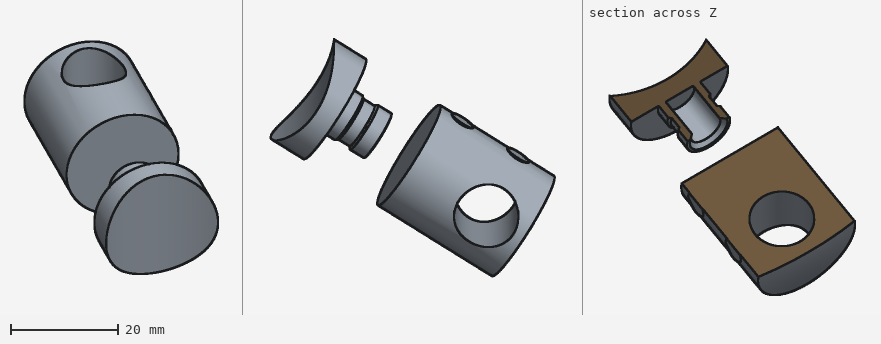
import cadquery as cq
import math

overall_length = 49.55
part_radius = 11.0
left_end = -overall_length / 2
right_end = overall_length / 2

housing_length = 26.0
dome_height = 0.8
housing_end = left_end + housing_length

rail_hole_radius = 6.0
rail_hole_x = left_end + 8.9

screw_radius = 2.5
screw_depth = 1.5
clamp_screw_setback = 4.8
screw_positions = [rail_hole_x, housing_end - clamp_screw_setback]

saddle_length = 7.1
flange_left = right_end - saddle_length
saddle_web = 4.05
post_radius = 21.3

stem_length = 9.5
stem_radius = 4.9
groove_radius = 4.45
groove_width = 3.35
groove_bevel = stem_radius - groove_radius
groove_center = flange_left - clamp_screw_setback
stem_left = flange_left - stem_length
bore_radius = 3.3
countersink_radius = 4.25
bore_depth = stem_length


def make_housing():
    shoulder = left_end + dome_height
    dome_radius = (part_radius**2 + dome_height**2) / (2 * dome_height)
    half_angle = math.asin(part_radius / dome_radius) / 2
    arc_middle = (
        left_end + dome_radius * (1 - math.cos(half_angle)),
        dome_radius * math.sin(half_angle),
    )
    body = (
        cq.Workplane("XY")
        .moveTo(left_end, 0)
        .threePointArc(arc_middle, (shoulder, part_radius))
        .lineTo(housing_end, part_radius)
        .lineTo(housing_end, 0)
        .close()
        .revolve(360, (0, 0, 0), (1, 0, 0))
    )
    for screw_x in screw_positions:
        screw_end = (
            cq.Workplane("XZ", origin=(screw_x, part_radius, 0))
            .circle(screw_radius)
            .extrude(screw_depth)
        )
        body = body.union(screw_end)
    rail_hole = (
        cq.Workplane("XY", origin=(rail_hole_x, 0, 0))
        .circle(rail_hole_radius)
        .extrude(part_radius, both=True)
    )
    return body.cut(rail_hole)


def make_stem():
    half_floor = groove_width / 2 - groove_bevel
    half_mouth = groove_width / 2
    profile = [
        (stem_left, 0),
        (stem_left, stem_radius),
        (groove_center - half_mouth, stem_radius),
        (groove_center - half_floor, groove_radius),
        (groove_center + half_floor, groove_radius),
        (groove_center + half_mouth, stem_radius),
        (flange_left, stem_radius),
        (flange_left, 0),
    ]
    return cq.Workplane("XY").polyline(profile).close().revolve(360, (0, 0, 0), (1, 0, 0))


def make_bore():
    """Blind bore with a 45 degree countersink at the free end of the stem."""
    countersink_depth = countersink_radius - bore_radius
    profile = [
        (stem_left, 0),
        (stem_left, countersink_radius),
        (stem_left + countersink_depth, bore_radius),
        (stem_left + bore_depth, bore_radius),
        (stem_left + bore_depth, 0),
    ]
    return cq.Workplane("XY").polyline(profile).close().revolve(360, (0, 0, 0), (1, 0, 0))


def make_saddle():
    flange = cq.Workplane("YZ", origin=(flange_left, 0, 0)).circle(part_radius).extrude(saddle_length)
    post = (
        cq.Workplane("XY", origin=(flange_left + saddle_web + post_radius, 0, 0))
        .circle(post_radius)
        .extrude(part_radius, both=True)
    )
    return flange.cut(post).union(make_stem()).cut(make_bore())


housing = make_housing()
saddle = make_saddle()

result = cq.Compound.makeCompound([housing.val(), saddle.val()])